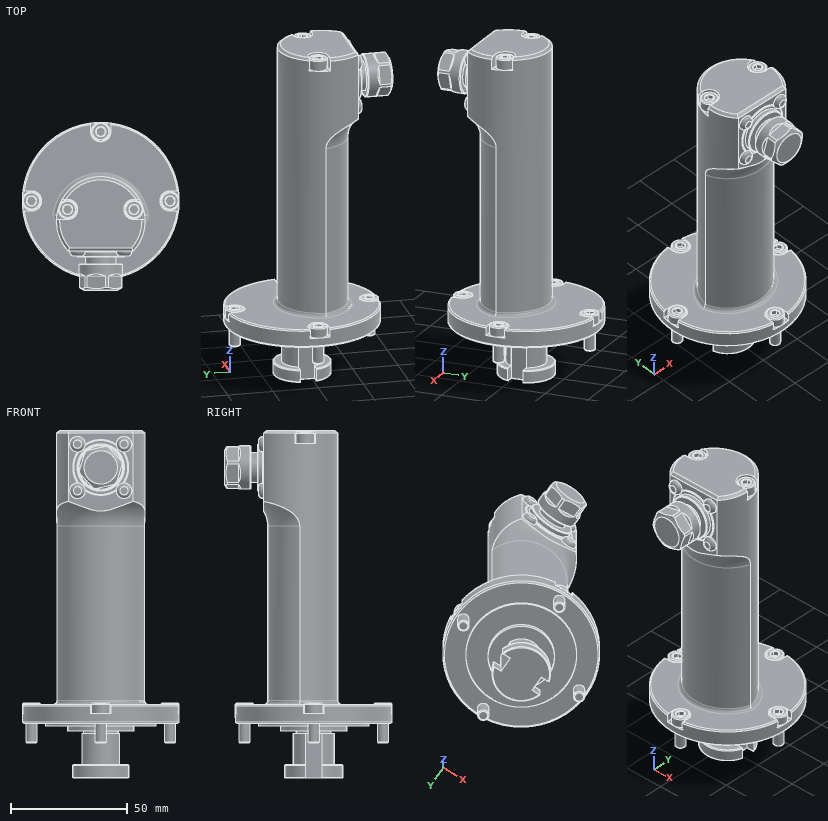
import cadquery as cq
import math

foot_height = 5.8
shaft_top = 19.3
collar_bottom = 20.2
spigot_bottom = 22.4
flange_bottom = 23.5
flange_top = 31.7
blend_start = 108.3
total_height = 149.35

foot_diameter = 25.1
foot_edge_chamfer = 0.4
shaft_diameter = 17.7
neck_diameter = 15.06
collar_diameter = 28.57
spigot_diameter = 47.62
keyway_width = 7.15
keyway_floor = 8.0

flange_diameter = 67.44
flange_top_chamfer = 0.6
flange_bottom_chamfer = 0.7

head_radius = 19.05
head_center_y = -8.6
body_front_radius = 19.8
base_fillet = 1.6
blend_radius = 12.5
blend_reach = 30.0
head_face_y = -21.6
head_chamfer_drop = 1.1
head_chamfer_inset = 1.4

cap_head_diameter = 7.92
cap_socket_sides = 6
cap_socket_corners = 4.4
cap_socket_lead_in = 0.3
cap_socket_depth = 2.5
cap_edge_chamfer = 0.5
cap_pocket_width = 8.7
stud_diameter = 4.83
stud_bottom = 15.1
stud_chamfer = 0.5
flange_screw_count = 4
flange_screw_radius = (flange_diameter - cap_head_diameter) / 2
flange_pocket_floor = 27.7
flange_screw_top = 32.25
head_screw_x = 14.25
head_screw_y = -3.65
head_pocket_floor = 143.75
head_screw_top = 148.7

connector_z = 133.5
washer_diameter = 24.0
washer_thickness = 0.3
washer_chamfer_drop = 0.2
washer_chamfer_inset = 0.4
hub_diameter = 20.34
hub_length = 2.6
hub_chamfer = 0.35
connector_neck_diameter = 12.95
nut_diameter = 18.7
nut_start = 5.4
nut_end = 16.82
nut_flats_start = 10.72
nut_back_chamfer = 0.4
nut_end_diameter = 14.3
nut_end_chamfer = 1.3
nut_across_flats = 16.8
nut_flat_count = 6
nut_flat_angle = 47.0

button_diameter = 6.66
button_flat_diameter = 3.5
button_height = 2.15
button_offset = 10.0


def disc(diameter, bottom, top, center=(0, 0)):
    """Upright cylinder between two heights."""
    return cq.Workplane("XY", origin=(*center, bottom)).circle(diameter / 2).extrude(top - bottom)


def make_foot_and_shaft():
    foot = disc(foot_diameter, 0, foot_height).edges().chamfer(foot_edge_chamfer)
    shaft = disc(shaft_diameter, 0, shaft_top)
    lower = foot.union(shaft)
    for side in (-1, 1):
        keyway = cq.Workplane("XY").box(foot_diameter, keyway_width, shaft_top, centered=(True, True, False))
        lower = lower.cut(keyway.translate((side * (keyway_floor + foot_diameter / 2), 0, 0)))
    return lower.union(disc(neck_diameter, shaft_top, flange_bottom))


def make_flange():
    flange = disc(flange_diameter, flange_bottom, flange_top)
    flange = flange.faces(">Z").edges().chamfer(flange_top_chamfer)
    flange = flange.faces("<Z").edges().chamfer(flange_bottom_chamfer)
    flange = flange.union(disc(spigot_diameter, spigot_bottom, flange_bottom))
    return flange.union(disc(collar_diameter, collar_bottom, spigot_bottom))


def make_head_cylinder():
    """Full-height rear cylinder with a flat front face and a bevelled top edge."""
    cylinder = disc(2 * head_radius, flange_top, total_height, (0, head_center_y))
    size = 2 * head_radius
    front_block = cq.Workplane("XY").box(size, size, 2 * total_height)
    cylinder = cylinder.cut(front_block.translate((0, head_face_y - head_radius, 0)))
    return cylinder.faces(">Z").edges().chamfer(head_chamfer_drop, head_chamfer_inset)


def make_front_envelope():
    """Solid of revolution that trims the rear cylinder to the front radius below the head."""
    sweep = math.acos(1 - (blend_reach - body_front_radius) / blend_radius)
    middle_radius = body_front_radius + blend_radius * (1 - math.cos(sweep / 2))
    middle_height = blend_start + blend_radius * math.sin(sweep / 2)
    end_height = blend_start + blend_radius * math.sin(sweep)
    return (
        cq.Workplane("XZ")
        .moveTo(0, flange_top)
        .lineTo(body_front_radius, flange_top)
        .lineTo(body_front_radius, blend_start)
        .threePointArc((middle_radius, middle_height), (blend_reach, end_height))
        .lineTo(blend_reach, total_height)
        .lineTo(0, total_height)
        .close()
        .revolve(360, (0, 0, 0), (0, 1, 0))
    )


def make_flare(radius, center_y):
    """Cylinder foot that flares outwards to meet the flange in a concave round."""
    corner = radius + base_fillet
    middle = base_fillet * (1 - math.sqrt(0.5))
    return (
        cq.Workplane("XZ")
        .moveTo(0, flange_top)
        .lineTo(corner, flange_top)
        .threePointArc((radius + middle, flange_top + middle), (radius, flange_top + base_fillet))
        .lineTo(0, flange_top + base_fillet)
        .close()
        .revolve(360, (0, 0, 0), (0, 1, 0))
        .translate((0, center_y, 0))
    )


def make_body():
    body = make_head_cylinder().intersect(make_front_envelope())
    flare = make_flare(head_radius, head_center_y).intersect(make_flare(body_front_radius, 0))
    return body.union(flare)


def make_screw_pocket(floor, top, outward_length):
    """Round-bottomed pocket at the origin, open towards +X."""
    round_end = disc(cap_pocket_width, floor, top)
    mouth = cq.Workplane("XY", origin=(outward_length / 2, 0, (floor + top) / 2))
    return round_end.union(mouth.box(outward_length, cap_pocket_width, top - floor))


def make_cap_head(floor, top):
    head = disc(cap_head_diameter, floor, top).faces(">Z").edges().chamfer(cap_edge_chamfer)
    socket_floor = cq.Workplane("XY", origin=(0, 0, top - cap_socket_depth))
    socket = socket_floor.polygon(cap_socket_sides, cap_socket_corners).extrude(cap_socket_depth)
    lead_in = disc(cap_socket_corners, top - cap_socket_lead_in, top)
    lead_in = lead_in.faces("<Z").edges().chamfer(cap_socket_lead_in / 2)
    return head.cut(socket).cut(lead_in)


def add_flange_screws(part):
    pocket = make_screw_pocket(flange_pocket_floor, flange_screw_top, cap_head_diameter)
    stud = disc(stud_diameter, stud_bottom, flange_bottom).faces("<Z").edges().chamfer(stud_chamfer)
    screw = make_cap_head(flange_pocket_floor, flange_screw_top).union(stud)
    pocket = pocket.translate((flange_screw_radius, 0, 0))
    screw = screw.translate((flange_screw_radius, 0, 0))
    for index in range(flange_screw_count):
        angle = index * 360 / flange_screw_count
        part = part.cut(pocket.rotate((0, 0, 0), (0, 0, 1), angle))
        part = part.union(screw.rotate((0, 0, 0), (0, 0, 1), angle))
    return part


def add_head_screws(part):
    pocket = make_screw_pocket(head_pocket_floor, total_height, cap_head_diameter)
    screw = make_cap_head(head_pocket_floor, head_screw_top)
    for angle, side in ((0, 1), (180, -1)):
        place = (side * head_screw_x, head_screw_y, 0)
        part = part.cut(pocket.rotate((0, 0, 0), (0, 0, 1), angle).translate(place))
        part = part.union(screw.translate(place))
    return part


def face_plane(out=0.0):
    """Workplane on the connector axis, parallel to the front face, whose normal points outwards along -Y."""
    return cq.Workplane("XZ", origin=(0, head_face_y - out, connector_z))


def make_flat_cutter():
    """Block above the nut axis that cuts one wrench flat, with a 45 degree run-out towards the body."""
    apothem = nut_across_flats / 2
    rise = nut_diameter / 2
    start_y = head_face_y - nut_flats_start
    end_y = head_face_y - nut_end
    return (
        cq.Workplane("YZ", origin=(-nut_diameter / 2, 0, connector_z))
        .moveTo(start_y, apothem)
        .lineTo(start_y + rise, apothem + rise)
        .lineTo(end_y, apothem + rise)
        .lineTo(end_y, apothem)
        .close()
        .extrude(nut_diameter)
    )


def make_nut():
    nut = face_plane(out=nut_start).circle(nut_diameter / 2).extrude(nut_end - nut_start)
    nut = nut.faces("<Y").edges().chamfer(nut_end_chamfer, (nut_diameter - nut_end_diameter) / 2)
    nut = nut.faces(">Y").edges().chamfer(nut_back_chamfer)
    cutter = make_flat_cutter()
    axis_start = (0, 0, connector_z)
    axis_end = (0, 1, connector_z)
    for index in range(nut_flat_count):
        angle = nut_flat_angle + index * 360 / nut_flat_count
        nut = nut.cut(cutter.rotate(axis_start, axis_end, angle))
    return nut


def make_connector():
    washer = face_plane().circle(washer_diameter / 2).extrude(washer_thickness)
    washer = washer.faces("<Y").edges().chamfer(washer_chamfer_drop, washer_chamfer_inset)
    hub = face_plane().circle(hub_diameter / 2).extrude(hub_length).faces("<Y").edges().chamfer(hub_chamfer)
    neck = face_plane().circle(connector_neck_diameter / 2).extrude(nut_start)
    return washer.union(hub).union(neck).union(make_nut())


def make_button_head(x, z):
    crown = (button_diameter - button_flat_diameter) / 2
    diagonal = math.sqrt(0.5)
    return (
        cq.Workplane("XY")
        .moveTo(0, 0)
        .lineTo(button_diameter / 2, 0)
        .threePointArc(
            (button_flat_diameter / 2 + crown * diagonal, -button_height * diagonal),
            (button_flat_diameter / 2, -button_height),
        )
        .lineTo(0, -button_height)
        .close()
        .revolve(360, (0, 0, 0), (0, 1, 0))
        .translate((x, head_face_y, z))
    )


def add_button_screws(part):
    for x_side in (-1, 1):
        for z_side in (-1, 1):
            screw = make_button_head(x_side * button_offset, connector_z + z_side * button_offset)
            part = part.union(screw)
    return part


result = make_flange().union(make_foot_and_shaft()).union(make_body())
result = add_flange_screws(result)
result = add_head_screws(result)
result = result.union(make_connector())
result = add_button_screws(result)